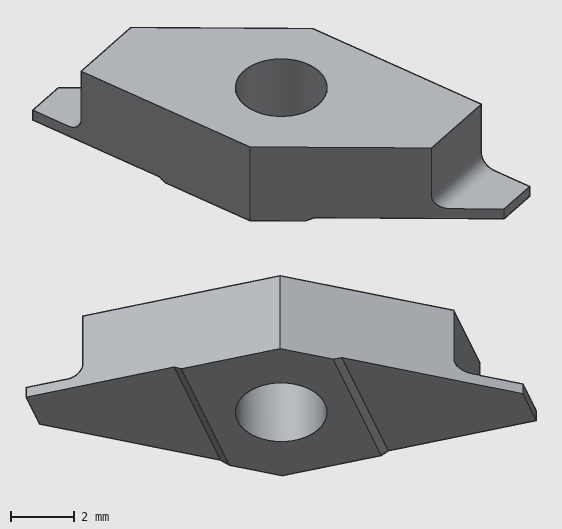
import cadquery as cq
import math

length = 15.0
width = 6.0
height = 3.0

slant_angle = 35.0
tip_width = 1.4
slant_run = (width - tip_width) / math.tan(math.radians(slant_angle))

body_length = 11.25
tip_top = 0.54
root_radius = 0.5

relief_depth = 0.14
pad_length = 4.71
pad_edge_run = 0.24

hole_diameter = 2.9

half_length = length / 2
half_width = width / 2
half_body = body_length / 2
half_pad = pad_length / 2


def plan_prism():
    """Six-sided plan outline, symmetric under a half turn, at full height."""
    half_outline = [
        (-half_length, -half_width),
        (half_length - slant_run, -half_width),
        (half_length, half_width - tip_width),
    ]
    other_half = [(-x, -y) for x, y in half_outline]
    return cq.Workplane("XY").polyline(half_outline + other_half).close().extrude(height)


def side_profile_prism():
    """Side profile with filleted tip roots and underside pad, across the width."""
    return (
        cq.Workplane("XZ")
        .moveTo(-half_pad, 0)
        .lineTo(half_pad, 0)
        .lineTo(half_pad + pad_edge_run, relief_depth)
        .lineTo(half_length, relief_depth)
        .lineTo(half_length, tip_top)
        .lineTo(half_body + root_radius, tip_top)
        .radiusArc((half_body, tip_top + root_radius), root_radius)
        .lineTo(half_body, height)
        .lineTo(-half_body, height)
        .lineTo(-half_body, tip_top + root_radius)
        .radiusArc((-half_body - root_radius, tip_top), root_radius)
        .lineTo(-half_length, tip_top)
        .lineTo(-half_length, relief_depth)
        .lineTo(-half_pad - pad_edge_run, relief_depth)
        .close()
        .extrude(half_width, both=True)
    )


hole = cq.Workplane("XY").circle(hole_diameter / 2).extrude(height)

result = plan_prism().intersect(side_profile_prism()).cut(hole)